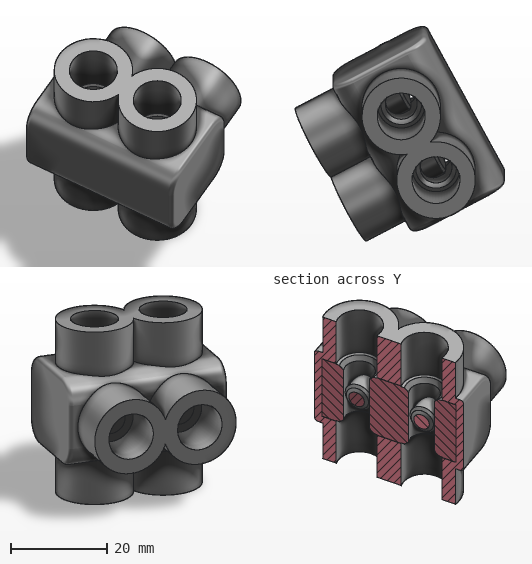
import cadquery as cq
import math

HOUSING_X = 35.3
HOUSING_Y = 22.25
HOUSING_Z = 19.05
CORNER_RADIUS = 4.75
END_FILLET = 1.0
WALL = 1.9

PORT_PITCH = 15.3
PORT_DIAMETER = 16.25
PORT_BORE = 9.9
WIRE_PORT_LENGTH = 9.52
SCREW_PORT_LENGTH = 9.5
PORT_CENTRES = [-PORT_PITCH / 2, PORT_PITCH / 2]

BLOCK_X = HOUSING_X - 2 * WALL
BLOCK_Y = HOUSING_Y - 2 * WALL
BLOCK_Z = HOUSING_Z - 2 * WALL
WIRE_HOLE_DIAMETER = 6.6
COUNTERSINK_DIAMETER = 8.42
COUNTERSINK_DEPTH = (COUNTERSINK_DIAMETER - WIRE_HOLE_DIAMETER) / 2

SCREW_RADIUS = 3.2
SCREW_CHAMFER = 0.57
DOME_HEIGHT = 0.72
SCREW_TIP_Y = -1.65

WIRE_PORT_END = HOUSING_Z / 2 + WIRE_PORT_LENGTH
SCREW_PORT_END = HOUSING_Y / 2 + SCREW_PORT_LENGTH


def z_cylinder(x, diameter, half_length):
    """Cylinder along Z, centred on the wire axis at x."""
    return cq.Workplane("XY").center(x, 0).circle(diameter / 2).extrude(half_length, both=True)


def y_cylinder(x, diameter, end_y):
    """Cylinder along the screw axis at x, from Y = 0 to end_y."""
    return cq.Workplane("XZ").center(x, 0).circle(diameter / 2).extrude(-end_y)


def make_block_envelope():
    """Plain outer box of the conductor block, also the cavity of the housing."""
    return cq.Workplane("XY").box(BLOCK_X, BLOCK_Y, BLOCK_Z)


def make_housing():
    """Rounded body with six ports, all bored through to the block cavity."""
    body = cq.Workplane("XY").box(HOUSING_X, HOUSING_Y, HOUSING_Z)
    body = body.edges("|X").fillet(CORNER_RADIUS)
    body = body.faces("<X or >X").edges().fillet(END_FILLET)
    for x in PORT_CENTRES:
        body = body.union(z_cylinder(x, PORT_DIAMETER, WIRE_PORT_END))
        body = body.union(y_cylinder(x, PORT_DIAMETER, SCREW_PORT_END))
    body = body.cut(make_block_envelope())
    for x in PORT_CENTRES:
        body = body.cut(z_cylinder(x, PORT_BORE, WIRE_PORT_END))
        body = body.cut(y_cylinder(x, PORT_BORE, SCREW_PORT_END))
    return body


def make_block():
    """Conductor block with countersunk wire holes and a screw hole into each."""
    block = make_block_envelope()
    for x in PORT_CENTRES:
        block = block.cut(z_cylinder(x, WIRE_HOLE_DIAMETER, BLOCK_Z / 2))
        block = block.cut(y_cylinder(x, 2 * SCREW_RADIUS, BLOCK_Y / 2))
    return block.faces("<Z or >Z").edges("%CIRCLE").chamfer(COUNTERSINK_DEPTH)


def make_screw(x):
    """Set screw revolved about the Y axis, then moved to its port at x."""
    dome_radius = SCREW_RADIUS - SCREW_CHAMFER
    dome_base_y = SCREW_TIP_Y + DOME_HEIGHT
    sphere_radius = (dome_radius**2 + DOME_HEIGHT**2) / (2 * DOME_HEIGHT)
    half_angle = math.asin(dome_radius / sphere_radius) / 2
    dome_mid_x = sphere_radius * math.sin(half_angle)
    dome_mid_y = SCREW_TIP_Y + sphere_radius * (1 - math.cos(half_angle))
    profile = (
        cq.Workplane("XY")
        .moveTo(0, SCREW_TIP_Y)
        .threePointArc((dome_mid_x, dome_mid_y), (dome_radius, dome_base_y))
        .lineTo(SCREW_RADIUS, dome_base_y + SCREW_CHAMFER)
        .lineTo(SCREW_RADIUS, BLOCK_Y / 2)
        .lineTo(0, BLOCK_Y / 2)
        .close()
    )
    return profile.revolve(360, (0, 0, 0), (0, 1, 0)).translate((x, 0, 0))


housing = make_housing()
block = make_block()
screws = [make_screw(x) for x in PORT_CENTRES]

result = cq.Compound.makeCompound(
    [housing.solids().val(), block.solids().val(), *[screw.val() for screw in screws]]
)